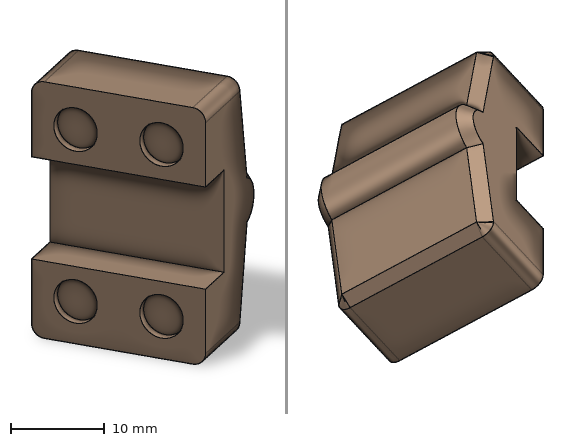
import cadquery as cq
import math

width = 20.25
height = 29.85
corner_radius = 1.5

depth = 14.27
ridge_radius = 4.0
ridge_center_y = depth - ridge_radius
edge_depth = 10.27
slope_angle = math.radians(10)
side_chamfer = 1.3
end_chamfer = 1.1

channel_height = 11.88
channel_depth = 4.93

pocket_diameter = 5.05
pocket_depth = 1.02
pocket_spacing_x = 10.0
pocket_spacing_z = 20.0


def make_block():
    """Block with a peaked back whose sloped faces are beveled along the sides and the ends."""
    peak_depth = edge_depth + height / 2 * math.tan(slope_angle)
    block = (
        cq.Workplane("YZ")
        .moveTo(0, -height / 2)
        .lineTo(edge_depth, -height / 2)
        .lineTo(peak_depth, 0)
        .lineTo(edge_depth, height / 2)
        .lineTo(0, height / 2)
        .close()
        .extrude(width / 2, both=True)
    )
    sloped_side_edges = block.faces("<X or >X").edges("not(|Y or |Z)")
    block = sloped_side_edges.chamfer(side_chamfer)
    end_edges = block.faces("<Z or >Z").edges("|X and >Y")
    return end_edges.chamfer(end_chamfer)


def make_corner_waste():
    """Material outside one rounded corner, tapering to the tip where the bevels meet."""
    ledge_y = edge_depth - end_chamfer
    tip_z = height / 2 - end_chamfer * math.cos(slope_angle)
    tip_y = edge_depth + end_chamfer * math.sin(slope_angle)
    tip = cq.Vertex.makeVertex(width / 2 - side_chamfer, tip_y, tip_z)

    arc_x = width / 2 - corner_radius
    arc_z = height / 2 - corner_radius
    arc_reach = corner_radius * math.sqrt(0.5)
    outline = (
        cq.Workplane("XZ", origin=(0, ledge_y, 0))
        .moveTo(width / 2, arc_z)
        .lineTo(width / 2, height / 2)
        .lineTo(arc_x, height / 2)
        .threePointArc((arc_x + arc_reach, arc_z + arc_reach), (width / 2, arc_z))
        .close()
    )
    taper = cq.occ_impl.shapes.loft(outline.val(), tip, cap=True, ruled=True)
    return outline.extrude(ledge_y).union(cq.Workplane(taper))


def make_ridge():
    """Round bar along X with beveled ends."""
    return (
        cq.Workplane("YZ")
        .center(ridge_center_y, 0)
        .circle(ridge_radius)
        .extrude(width / 2, both=True)
        .faces("<X or >X")
        .chamfer(side_chamfer)
    )


def make_channel():
    return cq.Workplane("XY").box(width, 2 * channel_depth, channel_height)


def make_pockets():
    return (
        cq.Workplane("XZ")
        .rarray(pocket_spacing_x, pocket_spacing_z, 2, 2)
        .circle(pocket_diameter / 2)
        .extrude(-pocket_depth)
    )


body = make_block()
corner = make_corner_waste()
opposite_corner = corner.mirror("YZ")
for waste in (corner, opposite_corner):
    body = body.cut(waste).cut(waste.mirror("XY"))

result = body.union(make_ridge()).cut(make_channel()).cut(make_pockets())